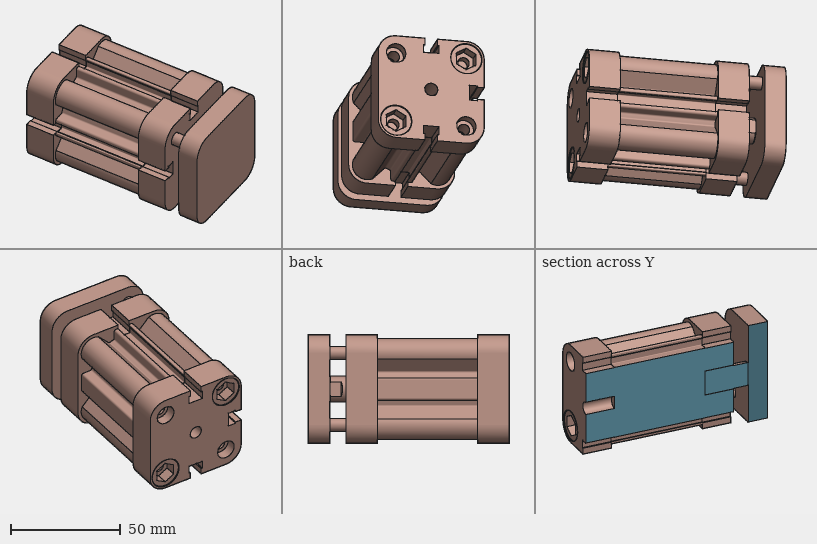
import cadquery as cq
import math


overall_length = 91.5
cap_thickness = 14.4
front_cap_start = 60.0
yoke_thickness = 9.9
barrel_length = front_cap_start - cap_thickness
front_cap_end = front_cap_start + cap_thickness
yoke_start = overall_length - yoke_thickness

side = 49.5
corner_radius = 8.3

corner_offset = 16.4
barrel_radius = 18.3
boss_radius = 6.7
web_half_width = 6.2
valley_radius = 0.9
rail_half_width = 5.1
rail_top = 22.8
rail_corner_radius = 1.0
rail_root_radius = 0.8
rail_mouth_radius = 0.4

slot_mouth_half_width = 2.9
cap_slot_half_width = 3.6
cap_slot_floor = 17.8
cap_slot_shoulder = 21.7
rail_slot_half_width = 3.3
rail_slot_floor = 17.9
rail_slot_shoulder = 21.4
rail_slot_floor_radius = 0.3
slotted_side_angles = (0, 90, 180)
all_side_angles = (0, 90, 180, 270)

screw_hole_radius = 2.65
counterbore_radius = 4.5
counterbore_depth = 5.0
port_radius = 3.0

plug_radius = 7.1
plug_recess_radius = 7.3
plug_face = 0.4
plug_end = 10.1
hex_width_across_flats = 9.1
hex_depth = 5.5
hex_turn = 30

guide_rod_radius = 3.0
piston_rod_radius = 5.95
rod_end_chamfer = 0.4
flat_start = 76.5
flat_distance = 4.9
flat_run_out = 0.6

guide_corners = [(-corner_offset, corner_offset), (corner_offset, -corner_offset)]
screw_corners = [(corner_offset, corner_offset), (-corner_offset, -corner_offset)]

match_tolerance = 0.01


def cross_section(x):
    """Workplane across the cylinder axis: local x is Y, local y is Z, extrusion runs to +X."""
    return cq.Workplane("YZ", origin=(x, 0, 0))


def turned(body, angle):
    return body.rotate((0, 0, 0), (1, 0, 0), angle)


def square_block(start, thickness):
    block = cross_section(start).rect(side, side).extrude(thickness)
    return block.edges("|X").fillet(corner_radius)


def rods(points, radius, start, end):
    return cross_section(start).pushPoints(points).circle(radius).extrude(end - start)


def t_slot(start, end, wide_half_width, floor, shoulder):
    """Cutter for a T-slot open to the +Z side."""
    outline = [
        (slot_mouth_half_width, side),
        (slot_mouth_half_width, shoulder),
        (wide_half_width, shoulder),
        (wide_half_width, floor),
    ]
    mirrored = [(-y, z) for y, z in reversed(outline)]
    return cross_section(start).polyline(outline + mirrored).close().extrude(end - start)


def slotted_cap(start):
    cap = square_block(start, cap_thickness)
    end = start + cap_thickness
    cutter = t_slot(start, end, cap_slot_half_width, cap_slot_floor, cap_slot_shoulder)
    for angle in slotted_side_angles:
        cap = cap.cut(turned(cutter, angle))
    return cap


def diagonal_web():
    """Bar joining two opposite corners, rounded at its ends; drawn along Y before it is turned."""
    boss_distance = corner_offset * math.sqrt(2)
    edge = boss_distance + math.sqrt(boss_radius**2 - web_half_width**2)
    tip = boss_distance + boss_radius
    return (
        cross_section(cap_thickness)
        .moveTo(-edge, -web_half_width)
        .lineTo(edge, -web_half_width)
        .threePointArc((tip, 0), (edge, web_half_width))
        .lineTo(-edge, web_half_width)
        .threePointArc((-tip, 0), (-edge, -web_half_width))
        .close()
        .extrude(barrel_length)
    )


def rail():
    """Rail on the +Z side of the barrel with rounded outer edges."""
    block = cross_section(cap_thickness).center(0, rail_top / 2)
    block = block.rect(2 * rail_half_width, rail_top).extrude(barrel_length)
    return block.edges("|X and >Z").fillet(rail_corner_radius)


def rail_slot():
    """T-slot cutter for a rail, flared at its mouth and rounded along its floor."""
    cutter = t_slot(
        cap_thickness, front_cap_start, rail_slot_half_width, rail_slot_floor, rail_slot_shoulder
    )
    cutter = cutter.edges("|X and <Z").fillet(rail_slot_floor_radius)
    inner = slot_mouth_half_width
    outer = inner + rail_mouth_radius
    flare_bottom = rail_top - rail_mouth_radius
    flare = (
        cross_section(cap_thickness)
        .moveTo(-outer, rail_top)
        .radiusArc((-inner, flare_bottom), rail_mouth_radius)
        .lineTo(inner, flare_bottom)
        .radiusArc((outer, rail_top), rail_mouth_radius)
        .close()
        .extrude(barrel_length)
    )
    return cutter.union(flare)


def is_on_barrel(edge):
    center = edge.Center()
    return abs(math.hypot(center.y, center.z) - barrel_radius) < match_tolerance


def nearest_axis_distance(edge):
    center = edge.Center()
    return min(abs(center.y), abs(center.z))


def is_rail_root(edge):
    """True where a rail meets the round barrel."""
    return is_on_barrel(edge) and abs(nearest_axis_distance(edge) - rail_half_width) < match_tolerance


def is_valley(edge):
    """True where a diagonal web meets the round barrel."""
    return is_on_barrel(edge) and nearest_axis_distance(edge) > rail_half_width + match_tolerance


def barrel_profile():
    profile = cross_section(cap_thickness).circle(barrel_radius).extrude(barrel_length)
    for angle in (45, -45):
        profile = profile.union(turned(diagonal_web(), angle))
    for angle in all_side_angles:
        profile = profile.union(turned(rail(), angle))
    profile = profile.edges("|X").filter(is_valley).fillet(valley_radius)
    profile = profile.edges("|X").filter(is_rail_root).fillet(rail_root_radius)
    for angle in slotted_side_angles:
        profile = profile.cut(turned(rail_slot(), angle))
    return profile


def make_housing():
    housing = slotted_cap(0).union(barrel_profile()).union(slotted_cap(front_cap_start))
    housing = housing.cut(rods(screw_corners, screw_hole_radius, 0, cap_thickness))
    housing = housing.cut(rods(screw_corners, counterbore_radius, 0, counterbore_depth))
    housing = housing.cut(rods(guide_corners, plug_recess_radius, 0, plug_end))
    housing = housing.cut(rods([(0, 0)], port_radius, 0, cap_thickness))
    housing = housing.cut(rods(guide_corners, guide_rod_radius, front_cap_start, front_cap_end))
    return housing.cut(rods([(0, 0)], piston_rod_radius, front_cap_start, front_cap_end))


def make_plug(corner):
    """Round plug with a hex socket, two corners of the hexagon pointing along Z."""
    plug = rods([corner], plug_radius, plug_face, plug_end)
    across_corners = hex_width_across_flats / math.cos(math.radians(30))
    socket = cross_section(plug_face).polygon(6, across_corners).extrude(hex_depth)
    socket = turned(socket, hex_turn).translate((0, *corner))
    return plug.cut(socket).cut(rods([corner], screw_hole_radius, plug_face, plug_end))


def make_piston_rod():
    """Rod with two wrench flats facing -Y and +Y, chamfered where it meets the yoke plate."""
    rod = rods([(0, 0)], piston_rod_radius, front_cap_start, yoke_start)
    rod = rod.faces(">X").chamfer(rod_end_chamfer)
    flat_cutter = (
        cq.Workplane("XY", origin=(0, 0, -piston_rod_radius))
        .moveTo(flat_start - flat_run_out, piston_rod_radius)
        .lineTo(flat_start, flat_distance)
        .lineTo(yoke_start, flat_distance)
        .lineTo(yoke_start, piston_rod_radius)
        .close()
        .extrude(2 * piston_rod_radius)
    )
    return rod.cut(flat_cutter).cut(flat_cutter.mirror("XZ"))


def make_yoke():
    """Yoke plate with its two guide rods."""
    plate = square_block(yoke_start, yoke_thickness)
    return plate.union(rods(guide_corners, guide_rod_radius, front_cap_start, yoke_start))


housing = make_housing()
plugs = [make_plug(corner) for corner in guide_corners]
piston_rod = make_piston_rod()
yoke = make_yoke()

result = cq.Compound.makeCompound(
    [housing.val(), *[plug.val() for plug in plugs], piston_rod.val(), yoke.val()]
)